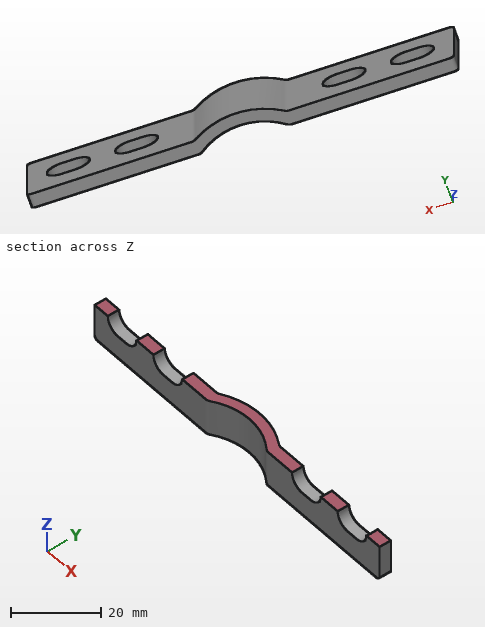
import cadquery as cq
import math

length = 100.0
height = 20.4
thickness = 3.3
depth = 6.5
corner_radius = 1.2

saddle_half_width = 12.5
arch_inner_radius = 17.0
arch_thickness = 3.0
arch_outer_radius = arch_inner_radius + arch_thickness
arch_center_y = depth - arch_outer_radius
bend_radius = 2.0

slot_length = 10.0
slot_width = 7.0
slot_pitch = 16.0
inner_slot_x = 24.3
slot_positions = [
    (side * (inner_slot_x + step * slot_pitch), 0)
    for side in (-1, 1)
    for step in (0, 1)
]


def flat_plate():
    """Straight strap with rounded corners, its front face on Y = 0."""
    plate = cq.Workplane("XY").box(length, thickness, height, centered=(True, False, True))
    return plate.edges("|Y").fillet(corner_radius)


def arch_half_width(radius, y):
    """Half the width of an arch circle at depth y."""
    return math.sqrt(radius**2 - (y - arch_center_y) ** 2)


def saddle():
    """Arched middle section, with rounded bends where both arch faces meet the flats."""
    inner_foot_x = arch_half_width(arch_inner_radius, 0)
    outer_foot_x = arch_half_width(arch_outer_radius, thickness)
    inner_crown_y = arch_center_y + arch_inner_radius
    bent_strip = (
        cq.Workplane("XY")
        .moveTo(-saddle_half_width, 0)
        .lineTo(-inner_foot_x, 0)
        .threePointArc((0, inner_crown_y), (inner_foot_x, 0))
        .lineTo(saddle_half_width, 0)
        .lineTo(saddle_half_width, thickness)
        .lineTo(outer_foot_x, thickness)
        .threePointArc((0, depth), (-outer_foot_x, thickness))
        .lineTo(-saddle_half_width, thickness)
        .close()
        .extrude(height / 2, both=True)
    )
    bend_zone = cq.selectors.BoxSelector(
        (-outer_foot_x - bend_radius / 2, -depth, -height),
        (outer_foot_x + bend_radius / 2, depth, height),
    )
    return bent_strip.edges("|Z").edges(bend_zone).fillet(bend_radius)


def saddle_gap():
    """Block that clears the middle of the flat plate for the saddle."""
    return cq.Workplane("XY").box(2 * saddle_half_width, 2 * depth, height)


def slots():
    """Round-ended slots through the flats."""
    return (
        cq.Workplane("XZ")
        .pushPoints(slot_positions)
        .slot2D(slot_length, slot_width)
        .extrude(depth, both=True)
    )


result = flat_plate().cut(saddle_gap()).union(saddle(), clean=False).cut(slots(), clean=False)